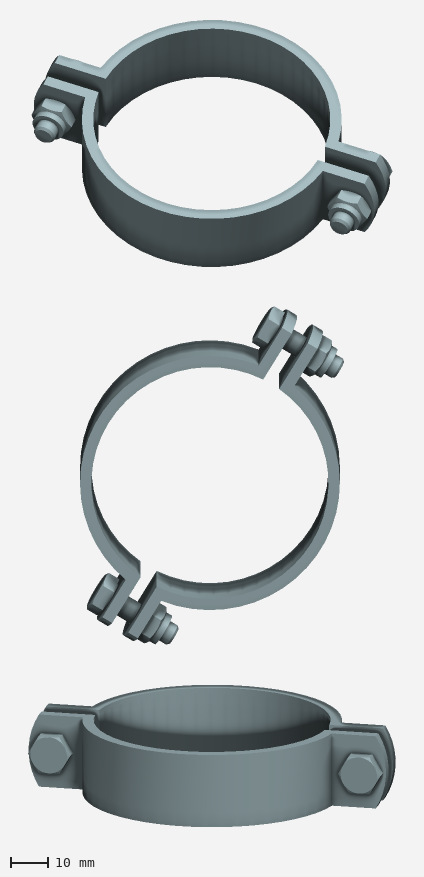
import cadquery as cq
import math

overall_length = 98.0
ring_radius = 34.64
strap_thickness = 3.0
strap_width = 20.0
ear_gap = 5.0
ear_end_bulge = 2.8
bolt_hole_diameter = 6.5

bolt_offset = 42.5
bolt_diameter = 6.0
bolt_tip_diameter = 4.8
bolt_tip_chamfer = 0.7
bolt_projection = 9.0

hex_flats = 10.0
hex_corners = hex_flats / math.cos(math.pi / 6)
hex_chamfer_angle = math.radians(30)

head_height = 4.0
bearing_face_height = 0.4
bearing_face_diameter = 8.7

nut_height = 5.8
nut_hex_height = 4.0
collar_diameter = 8.9

inner_radius = ring_radius - strap_thickness
ear_inner_y = ear_gap / 2
ear_outer_y = ear_inner_y + strap_thickness
shank_length = 2 * ear_outer_y + bolt_projection


def bolt_axis_plane(x, y):
    """Plane across a bolt axis, with its normal pointing along -Y."""
    return cq.Workplane(cq.Plane(origin=(x, y, 0), xDir=(1, 0, 0), normal=(0, -1, 0)))


def make_ear_outline():
    """Block the full length of the clamp, with a rounded end on either side."""
    end_x = overall_length / 2
    corner_x = end_x - ear_end_bulge
    half_width = strap_width / 2
    return (
        cq.Workplane("XZ")
        .moveTo(-corner_x, -half_width)
        .lineTo(corner_x, -half_width)
        .threePointArc((end_x, 0), (corner_x, half_width))
        .lineTo(-corner_x, half_width)
        .threePointArc((-end_x, 0), (-corner_x, -half_width))
        .close()
        .extrude(-strap_thickness)
        .translate((0, ear_inner_y, 0))
    )


def make_rear_clamp_half():
    """Clamp half on the +Y side of the gap."""
    half_ring = (
        cq.Workplane("XY")
        .circle(ring_radius)
        .extrude(strap_width / 2, both=True)
        .intersect(
            cq.Workplane("XY")
            .box(overall_length, ring_radius, strap_width, centered=(True, False, True))
            .translate((0, ear_inner_y, 0))
        )
    )
    bore = cq.Workplane("XY").circle(inner_radius).extrude(strap_width, both=True)
    half = half_ring.union(make_ear_outline()).cut(bore)
    for x in (-bolt_offset, bolt_offset):
        hole = bolt_axis_plane(x, ear_outer_y).circle(bolt_hole_diameter / 2).extrude(strap_thickness)
        half = half.cut(hole)
    return half


def make_hexagon(x, y, height, far_end_radius):
    """Hexagonal prism running along -Y from y, with conical corner chamfers.

    The near chamfer narrows to the flats and the far one to far_end_radius.
    """
    prism = bolt_axis_plane(x, y).polygon(6, hex_corners).extrude(height)
    corner_radius = hex_corners / 2
    near_end_radius = hex_flats / 2
    near_chamfer = (corner_radius - near_end_radius) * math.tan(hex_chamfer_angle)
    far_chamfer = (corner_radius - far_end_radius) * math.tan(hex_chamfer_angle)
    profile = [(0, 0), (near_end_radius, 0), (corner_radius, -near_chamfer)]
    if far_chamfer > 0:
        profile.append((corner_radius, far_chamfer - height))
    profile += [(far_end_radius, -height), (0, -height)]
    envelope = cq.Workplane("XY").polyline(profile).close().revolve(360, (0, 0), (0, 1))
    return prism.intersect(envelope.translate((x, y, 0)))


def make_bolt(x):
    """Hexagon bolt with its head on the +Y ear and a chamfered tip."""
    head_hex_height = head_height - bearing_face_height
    head = make_hexagon(x, ear_outer_y + head_height, head_hex_height, hex_corners / 2)
    bearing_face = (
        bolt_axis_plane(x, ear_outer_y + bearing_face_height)
        .circle(bearing_face_diameter / 2)
        .extrude(bearing_face_height)
    )
    shank = (
        bolt_axis_plane(x, ear_outer_y)
        .circle(bolt_diameter / 2)
        .extrude(shank_length)
        .faces("<Y")
        .chamfer(bolt_tip_chamfer, (bolt_diameter - bolt_tip_diameter) / 2)
    )
    return head.union(bearing_face).union(shank)


def make_nut(x):
    """Hexagon nut on the -Y ear, with a round collar on its outer end."""
    hexagon = make_hexagon(x, -ear_outer_y, nut_hex_height, collar_diameter / 2)
    collar = bolt_axis_plane(x, -ear_outer_y).circle(collar_diameter / 2).extrude(nut_height)
    thread_bore = bolt_axis_plane(x, -ear_outer_y).circle(bolt_diameter / 2).extrude(nut_height)
    return hexagon.union(collar).cut(thread_bore)


rear_clamp_half = make_rear_clamp_half()
front_clamp_half = rear_clamp_half.mirror("XZ")

bolts = []
nuts = []
for bolt_x in (-bolt_offset, bolt_offset):
    bolts += make_bolt(bolt_x).solids().vals()
    nuts += make_nut(bolt_x).solids().vals()

result = cq.Compound.makeCompound(
    [rear_clamp_half.solids().val(), front_clamp_half.solids().val(), *bolts, *nuts]
)